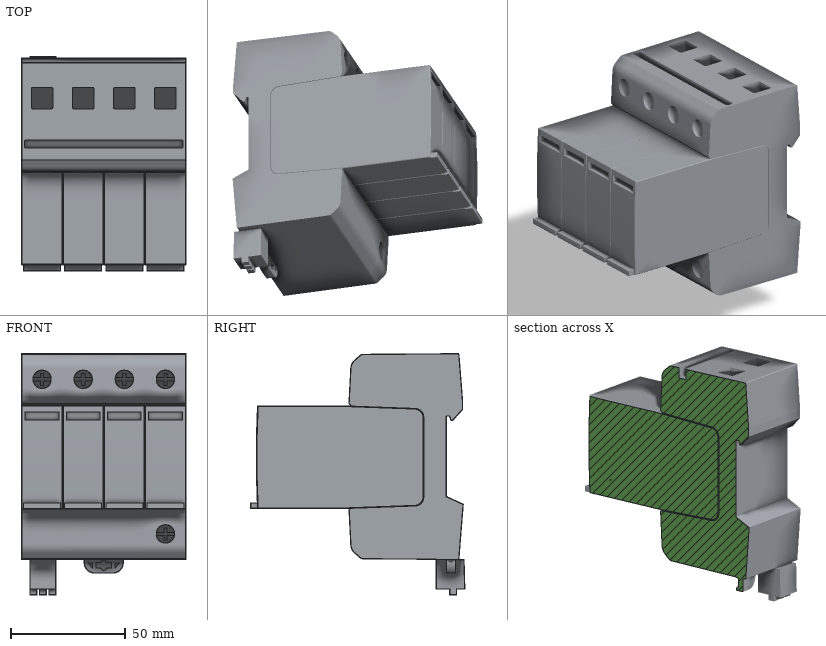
import cadquery as cq

width = 72.0
half_height = 45.1
overall_height = 105.62
back_y = 5.5
face_y = -42.7
face_top_y = -41.9
round_start_z = 38.5
shoulder_z = 44.8
corner_break = 0.3
lip = 0.8
lip_gap = 0.25
corner_steps = [(-36.6, shoulder_z), (-37.3, 44.65), (-38.0, 44.1), (-40.3, 42.1)]
corner_arc_mid = (-41.45, 40.5)

rail_top_z = 17.7
rail_bottom_z = -17.5
hook_inner_y = 1.3
hook_tip_y = 2.0
hook_tip_z = 15.9
hook_tip_width = 0.8
hook_back_y = 7.1
hook_ramp_z = 20.6
hook_back_top_z = 24.5
heel_y = 7.4
heel_z = -20.9

module_count = 4
pitch = width / module_count
module_back_y = -9.9
module_front_y = -82.7
module_top_z = 22.15
module_bottom_z = -22.7
module_taper = 1.2
module_bulge = 0.6
module_radius = 4.0
module_chamfer = 0.28
module_x = [(i - (module_count - 1) / 2) * pitch for i in range(module_count)]

window_width = 14.8
window_top_z = 19.5
window_height = 3.4
window_depth = 2.0
tab_width = 16.2
tab_front_y = -85.76
tab_height = 2.4
tab_root = 0.6

screw_z = 33.85
screw_diameter = 8.0
screw_depth = 12.0
cross_arm = 1.4
cross_height = 5.3
cross_depth = 1.0

entry_size = 9.5
entry_y = -10.1
entry_depth = 14.0
groove_length = 69.5
groove_width = 3.7
groove_y = -30.2
groove_depth = 5.0
pocket_radius = 0.9

clip_width = 17.2
clip_bottom_z = -51.1
clip_radius = 4.8
clip_back_y = 4.0
clip_thickness = 4.0
clip_root = 1.0
clip_recess_depth = 1.0
clip_window_z = -47.55
clip_window_half_width = 3.4
clip_window_half_side = 1.25
clip_window_shoulder_x = 1.5
clip_window_peak_x = 0.4
clip_window_half_height = 2.25
triangle_inner_x = 4.9
triangle_outer_x = 6.8
triangle_top_z = -46.6
triangle_tip_z = -48.8

terminal_x = -26.7
terminal_width = 11.4
terminal_front_y = -4.45
terminal_top_y = 7.75
terminal_back_y = 8.1
terminal_root = 0.5
terminal_root_y = 4.5
terminal_bottom_z = -58.05
prong_count = 3
prong_gap = 1.1
prong_front_y = 1.4
prong_back_y = 4.45
prong_bottom_z = half_height - overall_height


def extrude_across(profile, length, center_x=0.0):
    """Extrude a YZ profile along X, centred on center_x."""
    return profile.extrude(length / 2, both=True).translate((center_x, 0, 0))


def side_sketch():
    return cq.Workplane("YZ")


def front_sketch(y):
    """Sketch plane facing the front; positive extrusion goes towards -Y."""
    return cq.Workplane("XZ", origin=(0, y, 0))


def front_y_at(z):
    """Depth of the slightly tilted housing front face at height |z|."""
    share = (round_start_z - abs(z)) / (round_start_z - module_top_z)
    return face_top_y + share * (face_y - face_top_y)


def make_housing():
    lip_z = module_top_z + lip_gap
    arc_end_y, arc_end_z = corner_steps[-1]
    arc_mid_y, arc_mid_z = corner_arc_mid
    profile = (
        side_sketch()
        .moveTo(0, rail_top_z)
        .lineTo(hook_inner_y, rail_top_z)
        .lineTo(hook_tip_y, hook_tip_z)
        .lineTo(hook_tip_y + hook_tip_width, hook_tip_z)
        .lineTo(hook_back_y, hook_ramp_z)
        .lineTo(hook_back_y, hook_back_top_z)
        .lineTo(back_y, half_height - corner_break)
        .lineTo(back_y - corner_break, half_height)
    )
    for y, z in corner_steps:
        profile = profile.lineTo(y, z)
    profile = (
        profile
        .threePointArc(corner_arc_mid, (face_top_y, round_start_z))
        .lineTo(face_y, lip_z + lip)
        .lineTo(face_y + lip, lip_z)
        .lineTo(face_y + lip, module_bottom_z)
        .lineTo(face_y, module_bottom_z - lip_gap)
        .lineTo(face_top_y, -round_start_z)
        .threePointArc((arc_mid_y, -arc_mid_z), (arc_end_y, -arc_end_z))
    )
    for y, z in reversed(corner_steps[:-1]):
        profile = profile.lineTo(y, -z)
    profile = (
        profile
        .lineTo(back_y - corner_break, -half_height)
        .lineTo(back_y, corner_break - half_height)
        .lineTo(heel_y, heel_z)
        .lineTo(0, rail_bottom_z)
        .close()
    )
    return extrude_across(profile, width)


def make_module_block(block_width):
    """Module body with tapered rear half and crowned front."""
    mid_z = (module_top_z + module_bottom_z) / 2
    profile = (
        side_sketch()
        .moveTo(module_front_y, module_top_z)
        .lineTo(face_y, module_top_z)
        .lineTo(module_back_y, module_top_z - module_taper)
        .lineTo(module_back_y, module_bottom_z + module_taper)
        .lineTo(face_y, module_bottom_z)
        .lineTo(module_front_y, module_bottom_z)
        .threePointArc((module_front_y - module_bulge, mid_z), (module_front_y, module_top_z))
        .close()
    )
    block = extrude_across(profile, block_width)
    return block.edges("|X and >Y").fillet(module_radius)


def make_module():
    module = make_module_block(pitch).faces("<X or >X").chamfer(module_chamfer)
    window = (
        front_sketch(module_front_y + window_depth)
        .center(0, window_top_z - window_height / 2)
        .rect(window_width, window_height)
        .extrude(2 * window_depth)
    )
    root_y = module_front_y + tab_root
    tab = (
        front_sketch(root_y)
        .center(0, module_bottom_z + tab_height / 2)
        .rect(tab_width, tab_height)
        .extrude(root_y - tab_front_y)
    )
    return module.cut(window).union(tab)


def make_screw_recess(x, z):
    """Round screw shaft ending in a cross-slotted screw head."""
    floor_y = front_y_at(z) + screw_depth
    shaft = front_sketch(floor_y).center(x, z).circle(screw_diameter / 2).extrude(2 * screw_depth)
    slot_y = floor_y + cross_depth
    wide_arm = (
        front_sketch(slot_y).center(x, z).rect(screw_diameter, cross_arm).extrude(2 * cross_depth)
    )
    head = front_sketch(slot_y).center(x, z).circle(screw_diameter / 2).extrude(2 * cross_depth)
    tall_arm = (
        front_sketch(slot_y).center(x, z).rect(cross_arm, cross_height).extrude(2 * cross_depth)
    )
    return shaft.union(wide_arm.intersect(head)).union(tall_arm)


def make_top_pocket(x, y, size_x, size_y, depth):
    return (
        cq.Workplane("XY", origin=(x, y, half_height - depth))
        .rect(size_x, size_y)
        .extrude(2 * depth)
        .edges("|Z")
        .fillet(pocket_radius)
    )


def make_clip():
    top_z = clip_root - half_height
    clip = (
        front_sketch(clip_back_y)
        .center(0, (top_z + clip_bottom_z) / 2)
        .rect(clip_width, top_z - clip_bottom_z)
        .extrude(clip_thickness)
        .edges("|Y and <Z")
        .fillet(clip_radius)
    )
    quarter = [
        (clip_window_half_width, clip_window_half_side),
        (clip_window_shoulder_x, clip_window_half_side),
        (clip_window_peak_x, clip_window_half_height),
    ]
    upper = quarter + [(-x, z) for x, z in reversed(quarter)]
    outline = upper + [(-x, -z) for x, z in upper]
    recess_y = clip_back_y - clip_thickness + clip_recess_depth
    window = (
        front_sketch(recess_y)
        .center(0, clip_window_z)
        .polyline(outline)
        .close()
        .extrude(clip_recess_depth)
    )
    clip = clip.cut(window)
    for side in (-1, 1):
        triangle = [
            (side * triangle_inner_x, triangle_top_z),
            (side * triangle_outer_x, triangle_top_z),
            (side * triangle_inner_x, triangle_tip_z),
        ]
        recess = front_sketch(recess_y).polyline(triangle).close().extrude(clip_recess_depth)
        clip = clip.cut(recess)
    return clip


def make_terminal():
    profile = (
        side_sketch()
        .moveTo(terminal_front_y, terminal_root - half_height)
        .lineTo(terminal_root_y, terminal_root - half_height)
        .lineTo(terminal_root_y, -half_height)
        .lineTo(terminal_top_y, -half_height)
        .lineTo(terminal_back_y, terminal_bottom_z)
        .lineTo(terminal_front_y, terminal_bottom_z)
        .close()
    )
    terminal = extrude_across(profile, terminal_width, terminal_x)
    prong_width = (terminal_width - (prong_count - 1) * prong_gap) / prong_count
    for i in range(prong_count):
        x = terminal_x + (i - (prong_count - 1) / 2) * (prong_width + prong_gap)
        prong = (
            cq.Workplane("XY", origin=(x, (prong_front_y + prong_back_y) / 2, prong_bottom_z))
            .rect(prong_width, prong_back_y - prong_front_y)
            .extrude(terminal_bottom_z - prong_bottom_z)
        )
        terminal = terminal.union(prong)
    return terminal


result = make_housing().cut(make_module_block(width))
for x in module_x:
    result = result.cut(make_screw_recess(x, screw_z))
    result = result.cut(make_top_pocket(x, entry_y, entry_size, entry_size, entry_depth))
result = result.cut(make_screw_recess(module_x[-1], -screw_z))
result = result.cut(make_top_pocket(0, groove_y, groove_length, groove_width, groove_depth))
result = result.union(make_clip()).union(make_terminal())
module_template = make_module()
for x in module_x:
    result = result.union(module_template.translate((x, 0, 0)))